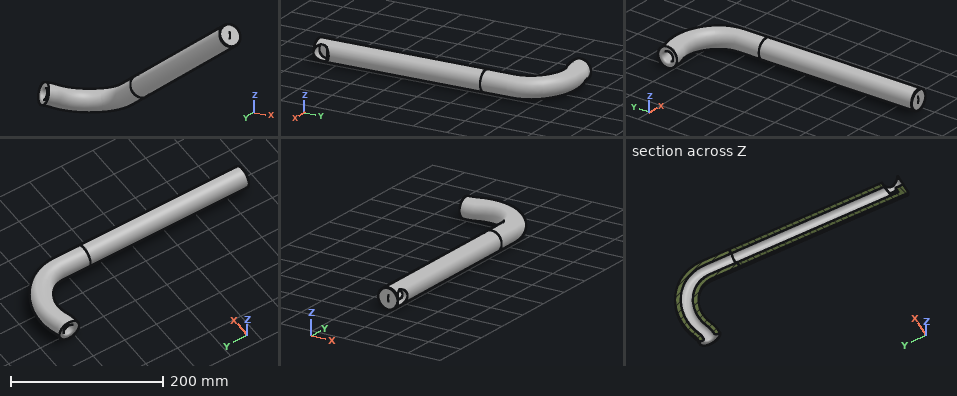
import cadquery as cq
import math

overall_length = 361.0
overall_width = 113.3
tube_diameter = 31.5
tube_radius = tube_diameter / 2
bore_diameter = 15.5

neck_straight = 40.5
tight_bend_radius = 49.5
tight_bend_angle = 43.5
wide_bend_radius = 64.0
inlet_bend_radius = 35.5
inlet_bend_angle = 20.0

rim_radius = 3.0
end_chamfer = 0.7
outlet_diameter = 22.7
outlet_inset = 12.0


def arc_point(center, radius, angle):
    """Point on a circle, with the angle in degrees from +X."""
    turn = math.radians(angle)
    return (center[0] + radius * math.cos(turn), center[1] + radius * math.sin(turn))


joint = (0, 0)
bend_start = (0, neck_straight)

tight_center = (-tight_bend_radius, neck_straight)
tight_middle = arc_point(tight_center, tight_bend_radius, tight_bend_angle / 2)
tight_end = arc_point(tight_center, tight_bend_radius, tight_bend_angle)

wide_center = arc_point(tight_end, wide_bend_radius, 180 + tight_bend_angle)
wide_end_angle = 90 + inlet_bend_angle
wide_middle = arc_point(wide_center, wide_bend_radius, (tight_bend_angle + wide_end_angle) / 2)
wide_end = arc_point(wide_center, wide_bend_radius, wide_end_angle)

inlet_center = arc_point(wide_end, inlet_bend_radius, wide_end_angle)
inlet_middle = arc_point(inlet_center, inlet_bend_radius, 270 + inlet_bend_angle / 2)
inlet_end = arc_point(inlet_center, inlet_bend_radius, 270)
inlet_face = (tube_radius - overall_width, inlet_end[1])

bend_top = wide_center[1] + wide_bend_radius + tube_radius
bar_length = overall_length - bend_top
outlet_y = outlet_inset - bar_length


def sweep_along_neck(diameter):
    """Round rod following the whole neck centreline."""
    path = (
        cq.Workplane("XY")
        .moveTo(*joint)
        .lineTo(*bend_start)
        .threePointArc(tight_middle, tight_end)
        .threePointArc(wide_middle, wide_end)
        .threePointArc(inlet_middle, inlet_end)
        .lineTo(*inlet_face)
    )
    return cq.Workplane("XZ").circle(diameter / 2).sweep(path)


def make_neck():
    """Bent tube with a rounded rim around the bore of its -X inlet."""
    neck = sweep_along_neck(tube_diameter).cut(sweep_along_neck(bore_diameter))
    rim_edge = neck.faces("<X").edges(cq.selectors.RadiusNthSelector(0))
    return rim_edge.fillet(rim_radius)


def make_bar():
    """Straight tube, closed at its -Y end, with an outlet in its +X side."""
    bar = cq.Workplane("XZ").circle(tube_radius).extrude(bar_length)
    bar = bar.faces("<Y").chamfer(end_chamfer)
    bore = cq.Workplane("XZ").circle(bore_diameter / 2).extrude(-outlet_y)
    outlet = (
        cq.Workplane("YZ")
        .center(outlet_y, 0)
        .circle(outlet_diameter / 2)
        .extrude(tube_diameter)
    )
    return bar.cut(bore).cut(outlet)


neck = make_neck()
bar = make_bar()

result = cq.Compound.makeCompound([neck.val(), bar.val()])